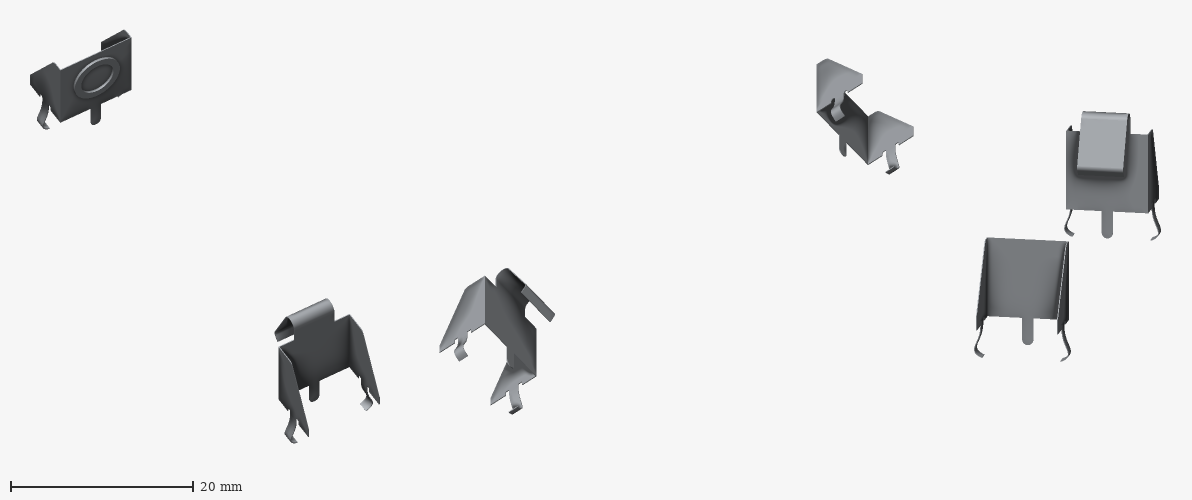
import cadquery as cq
import math


sheet = 0.1
overall_length = 59.05
clip_width = 9.15
round_end_share = 0.99
clip_depth = 6.4
cheek_height = 8.9

pin_width = 1.25
pin_drop = 3.1

leg_width = 1.25
leg_drop = 3.8
leg_flare_y = 4.9
leg_flare_z = -1.85
leg_bulge_y = 5.285
leg_bulge_z = -2.8
leg_tip_y = 4.4
relief_width = 0.55
relief_height = 0.6

contact_leg_x = 3.2
contact_edge_height = 1.7
contact_top_length = 1.4
contact_corner_radius = 1.0
contact_wall_x = clip_depth
ring_outer_radius = 2.9
ring_inner_radius = 2.05
ring_height = 0.3
ring_z = 5.0

spring_wall_x = overall_length - clip_depth
spring_leg_x = 55.8
spring_edge_height = 1.2
spring_top_length = 2.7
spring_corner_radius = 0.6
spring_width = 5.15
spring_top_z = 11.45
spring_bend_radius = 0.95
spring_reach = 4.2
spring_knee_z = 5.8
spring_knee_radius = 0.5
spring_tip_reach = 3.5
spring_tip_z = 4.95


def box(x_min, x_max, y_min, y_max, z_min, z_max):
    size = (x_max - x_min, y_max - y_min, z_max - z_min)
    return cq.Workplane("XY").box(*size, centered=False).translate((x_min, y_min, z_min))


def sweep_strip(path, start, direction, width):
    """Sheet strip along a planar path that leaves its local start point in a local direction."""
    plane = path.plane
    world_start = plane.toWorldCoords(start)
    world_ahead = plane.toWorldCoords((start[0] + direction[0], start[1] + direction[1]))
    section = cq.Workplane(cq.Plane(world_start, plane.zDir, world_ahead - world_start))
    return section.rect(width, sheet).sweep(path)


def bent_strip(plane, points, radii, width):
    """Sheet strip along a planar line whose inner points are rounded by the given radii."""
    path = cq.Workplane(plane).moveTo(*points[0])
    for before, corner, after, radius in zip(points, points[1:], points[2:], radii):
        corner = cq.Vector(*corner)
        to_before = (cq.Vector(*before) - corner).normalized()
        to_after = (cq.Vector(*after) - corner).normalized()
        half_angle = to_before.getAngle(to_after) / 2
        setback = radius / math.tan(half_angle)
        bisector = (to_before + to_after).normalized()
        arc_start = corner + to_before * setback
        arc_middle = corner + bisector * (radius / math.sin(half_angle) - radius)
        arc_end = corner + to_after * setback
        path = path.lineTo(arc_start.x, arc_start.y)
        path = path.threePointArc((arc_middle.x, arc_middle.y), (arc_end.x, arc_end.y))
    path = path.lineTo(*points[-1])
    direction = (points[1][0] - points[0][0], points[1][1] - points[0][1])
    return sweep_strip(path, points[0], direction, width)


def wall(x_min):
    """Upright wall with the round-ended locating pin below it."""
    x_max = x_min + sheet
    plate = box(x_min, x_max, -clip_width / 2, clip_width / 2, 0, cheek_height)
    pin = box(x_min, x_max, -pin_width / 2, pin_width / 2, -pin_drop, sheet)
    pin = pin.edges("|X and <Z").fillet(round_end_share * pin_width / 2)
    return plate.union(pin)


def snap_leg(x, side):
    """Springy leg that leaves the cheek straight down, bulges outward and turns in at the tip."""
    points = [
        (side * (clip_width / 2 - sheet / 2), 0),
        (side * leg_flare_y, leg_flare_z),
        (side * (leg_bulge_y - sheet / 2), leg_bulge_z),
        (side * leg_tip_y, -leg_drop + sheet / 2),
    ]
    down = (0, -0.6)
    path = cq.Workplane("YZ").spline(points, tangents=[down, None, None, None])
    return sweep_strip(path, points[0], down, leg_width).translate((x, 0, 0))


def cheeks_and_legs(wall_x, end_x, edge_height, top_length, corner_radius, leg_x, round_reliefs):
    """Both side cheeks, each with its snap leg between two relief notches."""
    away = math.copysign(1, end_x - wall_x)
    outline = [
        (wall_x, 0),
        (end_x, 0),
        (end_x, edge_height),
        (wall_x + away * top_length, cheek_height),
        (wall_x, cheek_height),
    ]
    cheek = cq.Workplane("XZ").polyline(outline).close().extrude(-sheet)
    top_corner = cq.selectors.NearestToPointSelector((wall_x + away * top_length, sheet / 2, cheek_height))
    cheek = cheek.edges("|Y").edges(top_corner).fillet(corner_radius)
    for notch_side in (-1, 1):
        notch_x = leg_x + notch_side * (leg_width + relief_width) / 2
        notch = box(notch_x - relief_width / 2, notch_x + relief_width / 2, 0, sheet, 0, relief_height)
        if round_reliefs:
            notch = notch.edges("|Y and >Z").fillet(round_end_share * relief_width / 2)
        cheek = cheek.cut(notch)
    sides = []
    for side, y_min in ((-1, -clip_width / 2), (1, clip_width / 2 - sheet)):
        sides.append(cheek.translate((0, y_min, 0)).union(snap_leg(leg_x, side)))
    return sides[0].union(sides[1])


def ring(x_start):
    """Flat raised contact ring standing on the wall face at x_start."""
    plane = cq.Workplane("YZ", origin=(x_start, 0, ring_z))
    return plane.circle(ring_outer_radius).circle(ring_inner_radius).extrude(ring_height)


def contact_clip():
    clip = wall(contact_wall_x - sheet).union(
        cheeks_and_legs(
            contact_wall_x, 0, contact_edge_height, contact_top_length,
            contact_corner_radius, contact_leg_x, round_reliefs=True,
        )
    )
    return clip.union(ring(contact_wall_x))


def spring_tongue():
    """Tongue that rises from the wall, folds over and hangs down to a turned-in tip."""
    wall_middle = spring_wall_x + sheet / 2
    knee = (spring_wall_x - spring_reach, spring_knee_z)
    crest_x = wall_middle - spring_bend_radius
    crest_z = spring_top_z - sheet / 2 - spring_bend_radius
    knee_distance = math.hypot(crest_x - knee[0], crest_z - knee[1])
    face_angle = math.atan2(crest_z - knee[1], crest_x - knee[0])
    face_angle += math.asin(spring_bend_radius / knee_distance)
    fold = (wall_middle, knee[1] + math.tan(face_angle) * (wall_middle - knee[0]))
    tip = (spring_wall_x - spring_tip_reach, spring_tip_z)
    points = [(wall_middle, cheek_height), fold, knee, tip]
    return bent_strip("XZ", points, [spring_bend_radius, spring_knee_radius], spring_width)


def spring_clip():
    clip = wall(spring_wall_x).union(
        cheeks_and_legs(
            spring_wall_x, overall_length, spring_edge_height, spring_top_length,
            spring_corner_radius, spring_leg_x, round_reliefs=False,
        )
    )
    return clip.union(spring_tongue())


contact = contact_clip()
spring = spring_clip()
result = cq.Compound.makeCompound([contact.val(), spring.val()])